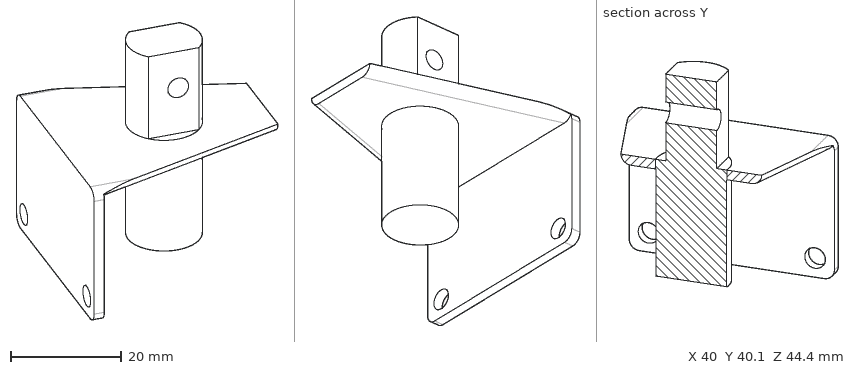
import cadquery as cq

width = 40.0
depth = 40.1
bracket_height = 27.4
thickness = 2.0
corner_radius = thickness
shelf_tip_width = 16.2
mount_hole_diameter = 4.0
mount_hole_inset = 3.77

overall_height = 44.4
pin_diameter = 14.0
pin_length = 40.0
pin_y = 21.05
flat_width = 10.0
cross_hole_diameter = 4.0
cross_hole_drop = 7.55
cross_hole_offset = 0.9

shelf_bottom = bracket_height - thickness
side_sliver = 0.005
shelf_edge_radius = thickness - side_sliver


def make_rounded_block(length):
    """Rounded rectangle in XZ, extruded from the front face toward +Y."""
    return (
        cq.Workplane("XY")
        .box(width, length, bracket_height, centered=(True, False, False))
        .edges("|Y")
        .fillet(corner_radius)
    )


def make_upright():
    hole_x = width / 2 - mount_hole_inset
    holes = (
        cq.Workplane("XZ")
        .pushPoints([(-hole_x, mount_hole_inset), (hole_x, mount_hole_inset)])
        .circle(mount_hole_diameter / 2)
        .extrude(-thickness)
    )
    return make_rounded_block(thickness).cut(holes)


def make_shelf():
    """Trapezoid with rounded lower side edges and the upright's rounded top corners."""
    taper = (
        cq.Workplane("XY", origin=(0, 0, shelf_bottom))
        .polyline(
            [
                (-width / 2, thickness),
                (width / 2, thickness),
                (shelf_tip_width / 2, depth),
                (-shelf_tip_width / 2, depth),
            ]
        )
        .close()
        .extrude(thickness)
    )
    side_middle_x = (width + shelf_tip_width) / 4
    side_middle_y = (thickness + depth) / 2
    for side in (-1, 1):
        edge_middle = (side * side_middle_x, side_middle_y, shelf_bottom)
        taper = taper.edges(cq.NearestToPointSelector(edge_middle)).fillet(shelf_edge_radius)
    return taper.intersect(make_rounded_block(depth))


def make_bracket():
    pin_hole = (
        cq.Workplane("XY", origin=(0, pin_y, shelf_bottom))
        .circle(pin_diameter / 2)
        .extrude(thickness)
    )
    return make_upright().union(make_shelf()).cut(pin_hole)


def make_pin():
    pin_bottom = overall_height - pin_length
    shank_length = bracket_height - pin_bottom
    flat_height = overall_height - bracket_height
    shank = (
        cq.Workplane("XY", origin=(0, pin_y, pin_bottom))
        .circle(pin_diameter / 2)
        .extrude(shank_length)
    )
    flat_block = cq.Workplane("XY", origin=(0, pin_y, bracket_height)).box(
        flat_width, pin_diameter, flat_height, centered=(True, True, False)
    )
    head = (
        cq.Workplane("XY", origin=(0, pin_y, bracket_height))
        .circle(pin_diameter / 2)
        .extrude(flat_height)
        .intersect(flat_block)
    )
    cross_hole = (
        cq.Workplane("YZ")
        .center(pin_y + cross_hole_offset, overall_height - cross_hole_drop)
        .circle(cross_hole_diameter / 2)
        .extrude(flat_width / 2, both=True)
    )
    return shank.union(head).cut(cross_hole)


bracket = make_bracket()
pin = make_pin()

result = cq.Compound.makeCompound([*bracket.solids().vals(), *pin.solids().vals()])